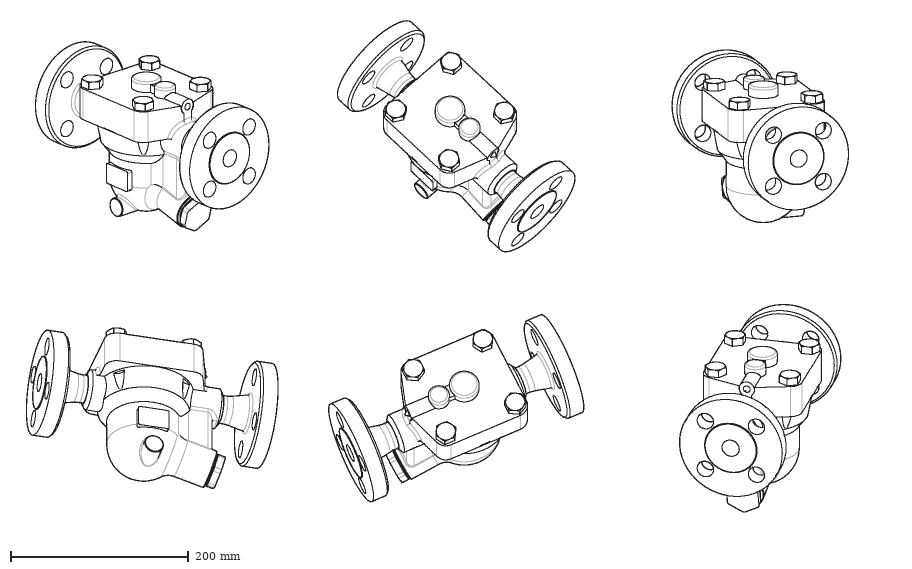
import cadquery as cq
import math


SELECT_MARGIN = 2.6
HEX_SIDES = 6
HEX_HALF_STEP = 180 / HEX_SIDES

HALF_LENGTH = 132.0
RAISED_FACE_DIA = 61.2
RAISED_FACE_HEIGHT = 0.8
FLANGE_DIA = 120.0
FLANGE_BACK_X = 111.5
FLANGE_CHAMFER = 2.6
FLANGE_HOLE_DIA = 19.0
FLANGE_HOLE_PITCH = 59.7
BORE_DIA = 20.0
NECK_FILLET = 3.0
NECK_DIA = 32.0
NECK_ANGLE = 12.0
NECK_TAPER_X = 90.5
NECK_BEND_X = 84.0
PIPE_END_X = 79.2

BOSS_DIA = 46.0
BOSS_TIP_RADIUS = 17.5
BOSS_CHAMFER_X = 75.2
BOSS_FILLET = 4.0

BODY_X = -10.0
COVER_TOP_Z = 43.8
HOUSING_BOTTOM_Z = 6.3
BOLT_OFFSET = 43.3
CORNER_RADIUS = 14.0
COVER_NOSE_X = 60.2
NOSE_ANGLE = 18.0

BOLT_HEX_FLATS = 21.6
BOLT_HEAD_CORNERS = 24.8
BOLT_HEAD_HEIGHT = 9.0
BOLT_HEAD_CHAMFER = 0.8

BIG_BOSS_DIA = 33.5
SMALL_BOSS_DIA = 24.0
SMALL_BOSS_X = 21.6
TOP_BOSS_HEIGHT = 12.1
TOP_BOSS_EDGE = 2.5
BRIDGE_WIDTH = 14.8
BRIDGE_HEIGHT = 9.2
CHANNEL_RADIUS = 9.0
CHANNEL_Z = 41.2
TIP_RADIUS = 4.0
TIP_END_RADIUS = 0.3
TIP_LENGTH = 4.0

CUP_TOP_RADIUS = 56.5
CUP_RADIUS = 52.0
CUP_BOTTOM_Z = -19.3
BOWL_TOP_Z = -32.5
BOWL_RADIUS = 42.0
BOWL_CENTRE_Z = -62.5

BOLT_CLEARANCE_RADIUS = 9.0
BOLT_CLEARANCE_TOP_Z = 4.0

TUBE_ANGLE = 15.0
TUBE_RADIUS = 44.0 / 2
TUBE_LENGTH = 80.8
TUBE_FILLET = 18.5
TUBE_CHAMFER = 0.8
PLUG_NECK_RADIUS = 18.2
PLUG_HEX_START = 82.0
PLUG_HEX_END = 91.5
PLUG_HEX_FLATS = 37.0
PLUG_HEX_ROUND = 4.8
PLUG_HEX_CHAMFER = 0.8

WEB_HALF_WIDTH = 17.0
WEB_START_X = 21.0
WEB_END_X = 67.0
WEB_CORNER = 6.5
WEB_BOWL_FILLET = 15.8
WEB_BOSS_FILLET = 6.3
WEB_TUBE_FILLET = 2.0
TUBE_CREST_SPAN = 8.0

PAD_WIDTH = 36.0
PAD_HEIGHT = 24.5
PAD_CENTRE_Z = -54.6
PAD_FACE_Y = -44.4
PAD_BACK_Y = -31.7
PAD_CORNER = 2.0

DRAIN_DIA = 22.0
DRAIN_Z = -90.8
DRAIN_FACE_Y = -46.0
DRAIN_FILLET = 2.0
DRAIN_CHAMFER = 0.8


def cylinder_x(radius, start_x, end_x):
    plane = cq.Workplane("YZ", origin=(start_x, 0, 0))
    return plane.circle(radius).extrude(end_x - start_x)


def pipe_end():
    """Weld-neck flange pointing toward +X, bored from its face."""
    flange_radius = FLANGE_DIA / 2
    face_x = HALF_LENGTH - RAISED_FACE_HEIGHT
    neck_start_x = FLANGE_BACK_X - NECK_FILLET
    angle = math.radians(NECK_ANGLE)
    taper_radius = NECK_DIA / 2 + (NECK_TAPER_X - NECK_BEND_X) * math.tan(angle / 2)
    base_radius = taper_radius + (neck_start_x - NECK_TAPER_X) * math.tan(angle)
    profile = (
        cq.Workplane("XY")
        .moveTo(PIPE_END_X, 0)
        .lineTo(PIPE_END_X, NECK_DIA / 2)
        .lineTo(NECK_BEND_X, NECK_DIA / 2)
        .tangentArcPoint((NECK_TAPER_X, taper_radius), relative=False)
        .lineTo(neck_start_x, base_radius)
        .radiusArc((FLANGE_BACK_X, base_radius + NECK_FILLET), -NECK_FILLET)
        .lineTo(FLANGE_BACK_X, flange_radius - FLANGE_CHAMFER)
        .lineTo(FLANGE_BACK_X + FLANGE_CHAMFER, flange_radius)
        .lineTo(face_x, flange_radius)
        .lineTo(face_x, RAISED_FACE_DIA / 2)
        .lineTo(HALF_LENGTH, RAISED_FACE_DIA / 2 - RAISED_FACE_HEIGHT)
        .lineTo(HALF_LENGTH, 0)
        .close()
    )
    flange = profile.revolve(360, (0, 0, 0), (1, 0, 0))
    holes = (
        cq.Workplane("YZ", origin=(FLANGE_BACK_X, 0, 0))
        .rect(FLANGE_HOLE_PITCH, FLANGE_HOLE_PITCH, forConstruction=True)
        .vertices()
        .circle(FLANGE_HOLE_DIA / 2)
        .extrude(HALF_LENGTH - FLANGE_BACK_X)
    )
    bore = cylinder_x(BORE_DIA / 2, PIPE_END_X, HALF_LENGTH)
    return flange.cut(holes).cut(bore)


def pipe_boss():
    """Outlet boss toward +X with a bevelled end."""
    return (
        cq.Workplane("XY")
        .lineTo(0, BOSS_DIA / 2)
        .lineTo(BOSS_CHAMFER_X, BOSS_DIA / 2)
        .lineTo(PIPE_END_X, BOSS_TIP_RADIUS)
        .lineTo(PIPE_END_X, 0)
        .close()
        .revolve(360, (0, 0, 0), (1, 0, 0))
    )


def mirrored_in_x(solid):
    return solid.mirror("YZ")


def cover_outline(bottom_z):
    """Rounded rectangle whose +X side comes to a blunt nose."""
    left_x = BODY_X - BOLT_OFFSET - CORNER_RADIUS
    side_y = BOLT_OFFSET + CORNER_RADIUS
    right_bolt_x = BODY_X + BOLT_OFFSET
    angle = math.radians(NOSE_ANGLE)
    tangent_x = right_bolt_x + CORNER_RADIUS * math.cos(angle)
    tangent_y = BOLT_OFFSET + CORNER_RADIUS * math.sin(angle)
    nose_y = tangent_y - (COVER_NOSE_X - tangent_x) / math.tan(angle)
    left_bolt_x = BODY_X - BOLT_OFFSET
    return (
        cq.Workplane("XY", origin=(0, 0, bottom_z))
        .moveTo(left_bolt_x, side_y)
        .lineTo(right_bolt_x, side_y)
        .radiusArc((tangent_x, tangent_y), CORNER_RADIUS)
        .lineTo(COVER_NOSE_X, nose_y)
        .lineTo(COVER_NOSE_X, -nose_y)
        .lineTo(tangent_x, -tangent_y)
        .radiusArc((right_bolt_x, -side_y), CORNER_RADIUS)
        .lineTo(left_bolt_x, -side_y)
        .radiusArc((left_x, -BOLT_OFFSET), CORNER_RADIUS)
        .lineTo(left_x, BOLT_OFFSET)
        .radiusArc((left_bolt_x, side_y), CORNER_RADIUS)
        .close()
    )


def housing():
    """Cover and housing flange, with fillets around both pipe bosses."""
    below_boss_z = -BOSS_DIA
    block = cover_outline(below_boss_z).extrude(COVER_TOP_Z - below_boss_z)
    pipe = cylinder_x(BOSS_DIA / 2, -BOSS_CHAMFER_X, BOSS_CHAMFER_X)
    reach = BOSS_DIA / 2 + SELECT_MARGIN
    half_span = BOSS_CHAMFER_X - SELECT_MARGIN
    around_boss = cq.selectors.BoxSelector(
        (-half_span, -reach, -reach),
        (half_span, reach, reach),
        boundingbox=True,
    )
    filleted = block.union(pipe).edges(around_boss).fillet(BOSS_FILLET)
    keep = (
        cq.Workplane("XY", origin=(0, 0, HOUSING_BOTTOM_Z))
        .rect(2 * HALF_LENGTH, FLANGE_DIA)
        .extrude(COVER_TOP_Z - HOUSING_BOTTOM_Z)
    )
    return filleted.intersect(keep)


def hexagon_prism(workplane, flats, height):
    corners = flats / math.cos(math.radians(HEX_HALF_STEP))
    return workplane.polygon(HEX_SIDES, corners).extrude(height)


def bolt_head(x, y, turn):
    """Hexagon head with a chamfered top, turned about its own axis."""
    hexagon = hexagon_prism(cq.Workplane("XY"), BOLT_HEX_FLATS, BOLT_HEAD_HEIGHT)
    rounding = (
        cq.Workplane("XY")
        .circle(BOLT_HEAD_CORNERS / 2)
        .extrude(BOLT_HEAD_HEIGHT)
        .faces(">Z")
        .chamfer(BOLT_HEAD_CHAMFER, (BOLT_HEAD_CORNERS - BOLT_HEX_FLATS) / 2)
    )
    head = hexagon.intersect(rounding)
    return head.rotate((0, 0, 0), (0, 0, 1), turn).translate((x, y, COVER_TOP_Z))


def top_boss(x, diameter):
    return (
        cq.Workplane("XY", origin=(x, 0, COVER_TOP_Z))
        .circle(diameter / 2)
        .extrude(TOP_BOSS_HEIGHT)
        .faces(">Z")
        .edges()
        .fillet(TOP_BOSS_EDGE)
    )


def cover_details():
    """Two round bosses joined by a bridge, and a channel running to the nose."""
    bridge_length = SMALL_BOSS_X - BODY_X
    bridge = (
        cq.Workplane("XY", origin=(BODY_X + bridge_length / 2, 0, COVER_TOP_Z))
        .rect(bridge_length, BRIDGE_WIDTH)
        .extrude(BRIDGE_HEIGHT)
    )
    channel = cylinder_x(CHANNEL_RADIUS, SMALL_BOSS_X, COVER_NOSE_X)
    tip = cq.Workplane(
        cq.Solid.makeCone(
            TIP_RADIUS,
            TIP_END_RADIUS,
            TIP_LENGTH,
            pnt=cq.Vector(COVER_NOSE_X, 0, 0),
            dir=cq.Vector(1, 0, 0),
        )
    )
    return (
        top_boss(BODY_X, BIG_BOSS_DIA)
        .union(top_boss(SMALL_BOSS_X, SMALL_BOSS_DIA))
        .union(bridge)
        .union(channel.union(tip).translate((0, 0, CHANNEL_Z)))
    )


def cup():
    """Tapered cup narrowing to the bowl, hollowed beside each bolt."""
    walls = (
        cq.Workplane("XZ")
        .moveTo(0, HOUSING_BOTTOM_Z)
        .lineTo(CUP_TOP_RADIUS, HOUSING_BOTTOM_Z)
        .lineTo(CUP_RADIUS, CUP_BOTTOM_Z)
        .lineTo(BOWL_RADIUS, BOWL_TOP_Z)
        .lineTo(0, BOWL_TOP_Z)
        .close()
        .revolve(360, (0, 0, 0), (0, 1, 0))
    )
    clearances = (
        cq.Workplane("XY", origin=(0, 0, BOLT_CLEARANCE_TOP_Z))
        .rect(2 * BOLT_OFFSET, 2 * BOLT_OFFSET, forConstruction=True)
        .vertices()
        .circle(BOLT_CLEARANCE_RADIUS)
        .extrude(BOWL_TOP_Z - BOLT_CLEARANCE_TOP_Z)
    )
    return walls.cut(clearances).translate((BODY_X, 0, 0))


def bowl():
    """Cylinder with a hemispherical bottom."""
    profile = (
        cq.Workplane("XZ", origin=(BODY_X, 0, 0))
        .moveTo(0, HOUSING_BOTTOM_Z)
        .lineTo(BOWL_RADIUS, HOUSING_BOTTOM_Z)
        .lineTo(BOWL_RADIUS, BOWL_CENTRE_Z)
        .radiusArc((0, BOWL_CENTRE_Z - BOWL_RADIUS), BOWL_RADIUS)
        .close()
    )
    return profile.revolve(360, (0, 0, 0), (0, 1, 0))


def aim_tube(solid):
    """Move a shape built along +X from the origin onto the tube axis."""
    return solid.rotate((0, 0, 0), (0, 1, 0), TUBE_ANGLE).translate((BODY_X, 0, BOWL_CENTRE_Z))


def tube():
    """Tube flaring into the bowl through a large fillet."""
    centre_reach = BOWL_RADIUS + TUBE_FILLET
    centre_y = TUBE_RADIUS + TUBE_FILLET
    centre_x = math.sqrt(centre_reach**2 - centre_y**2)
    ratio = BOWL_RADIUS / centre_reach
    profile = (
        cq.Workplane("XY")
        .lineTo(centre_x * ratio, 0)
        .lineTo(centre_x * ratio, centre_y * ratio)
        .radiusArc((centre_x, TUBE_RADIUS), -TUBE_FILLET)
        .lineTo(TUBE_LENGTH - TUBE_CHAMFER, TUBE_RADIUS)
        .lineTo(TUBE_LENGTH, TUBE_RADIUS - TUBE_CHAMFER)
        .lineTo(TUBE_LENGTH, 0)
        .close()
    )
    return aim_tube(profile.revolve(360, (0, 0, 0), (1, 0, 0)))


def plug():
    """Hexagon plug on a short neck, with rounded corners and a bevel facing the tube."""
    neck = cylinder_x(PLUG_NECK_RADIUS, TUBE_LENGTH, PLUG_HEX_START)
    base = cq.Workplane("YZ", origin=(PLUG_HEX_START, 0, 0))
    hexagon = (
        hexagon_prism(base, PLUG_HEX_FLATS, PLUG_HEX_END - PLUG_HEX_START)
        .edges("|X")
        .fillet(PLUG_HEX_ROUND)
        .faces("<X")
        .chamfer(PLUG_HEX_CHAMFER)
        .rotate((0, 0, 0), (1, 0, 0), HEX_HALF_STEP)
    )
    return aim_tube(neck.union(hexagon))


def above_tube_axis(solid):
    half_space = cq.Workplane("XY").rect(2 * HALF_LENGTH, FLANGE_DIA).extrude(HALF_LENGTH)
    return solid.intersect(aim_tube(half_space))


def web_root():
    """Flared root of the web, tangent to the bowl and to the web flanks."""
    centre_reach = BOWL_RADIUS + WEB_BOWL_FILLET
    centre_y = WEB_HALF_WIDTH + WEB_BOWL_FILLET
    centre_x = math.sqrt(centre_reach**2 - centre_y**2)
    ratio = BOWL_RADIUS / centre_reach
    contact_x = centre_x * ratio
    contact_y = centre_y * ratio
    root = (
        cq.Workplane("XY", origin=(BODY_X, 0, BOWL_CENTRE_Z - BOWL_RADIUS))
        .moveTo(0, contact_y)
        .lineTo(contact_x, contact_y)
        .radiusArc((centre_x, WEB_HALF_WIDTH), -WEB_BOWL_FILLET)
        .lineTo(centre_x, -WEB_HALF_WIDTH)
        .radiusArc((contact_x, -contact_y), -WEB_BOWL_FILLET)
        .lineTo(0, -contact_y)
        .close()
        .extrude(BOWL_RADIUS + CUP_BOTTOM_Z - BOWL_CENTRE_Z)
    )
    return above_tube_axis(root)


def outlet_with_web():
    """Outlet boss, straight web and tube, with fillets where the web meets the other two."""
    web_length = WEB_END_X - WEB_START_X
    web_base_z = BOWL_CENTRE_Z - BOWL_RADIUS
    web = (
        cq.Workplane("XY", origin=(WEB_START_X + web_length / 2, 0, web_base_z))
        .rect(web_length, 2 * WEB_HALF_WIDTH)
        .extrude(-web_base_z)
        .edges("|Z and >X")
        .fillet(WEB_CORNER)
    )
    start_x = WEB_START_X + SELECT_MARGIN
    end_x = WEB_END_X + SELECT_MARGIN
    below_boss = cq.selectors.BoxSelector(
        (start_x, -TUBE_RADIUS, -BOSS_DIA / 2 - SELECT_MARGIN),
        (end_x, TUBE_RADIUS, -BOSS_DIA / 4),
    )
    hung = above_tube_axis(web).union(pipe_boss()).edges(below_boss).fillet(WEB_BOSS_FILLET)
    above_tube = cq.selectors.BoxSelector(
        (start_x, -TUBE_RADIUS, BOWL_CENTRE_Z - TUBE_CREST_SPAN),
        (end_x, TUBE_RADIUS, BOWL_CENTRE_Z + TUBE_CREST_SPAN),
    )
    straight_tube = aim_tube(cylinder_x(TUBE_RADIUS, WEB_START_X - BODY_X, TUBE_LENGTH - TUBE_CHAMFER))
    return hung.union(straight_tube).edges(above_tube).fillet(WEB_TUBE_FILLET).union(tube())


def name_pad():
    return (
        cq.Workplane("XZ", origin=(BODY_X, PAD_BACK_Y, PAD_CENTRE_Z))
        .rect(PAD_WIDTH, PAD_HEIGHT)
        .extrude(PAD_BACK_Y - PAD_FACE_Y)
        .edges("|Y")
        .fillet(PAD_CORNER)
    )


def drain_boss():
    return (
        cq.Workplane("XZ", origin=(BODY_X, 0, DRAIN_Z))
        .circle(DRAIN_DIA / 2)
        .extrude(-DRAIN_FACE_Y)
        .faces("<Y")
        .chamfer(DRAIN_CHAMFER)
    )


def bowl_with_drain():
    return bowl().union(drain_boss()).edges("%BSPLINE").fillet(DRAIN_FILLET)


result = (
    housing()
    .union(cup())
    .union(bowl_with_drain())
    .union(web_root())
    .union(outlet_with_web())
    .union(mirrored_in_x(pipe_boss()))
    .union(plug())
    .union(name_pad())
    .union(cover_details())
)
for side_x in (-1, 1):
    for side_y in (-1, 1):
        head_turn = 0 if side_x == side_y else HEX_HALF_STEP
        head = bolt_head(BODY_X + side_x * BOLT_OFFSET, side_y * BOLT_OFFSET, head_turn)
        result = result.union(head)
result = result.union(pipe_end()).union(mirrored_in_x(pipe_end()))